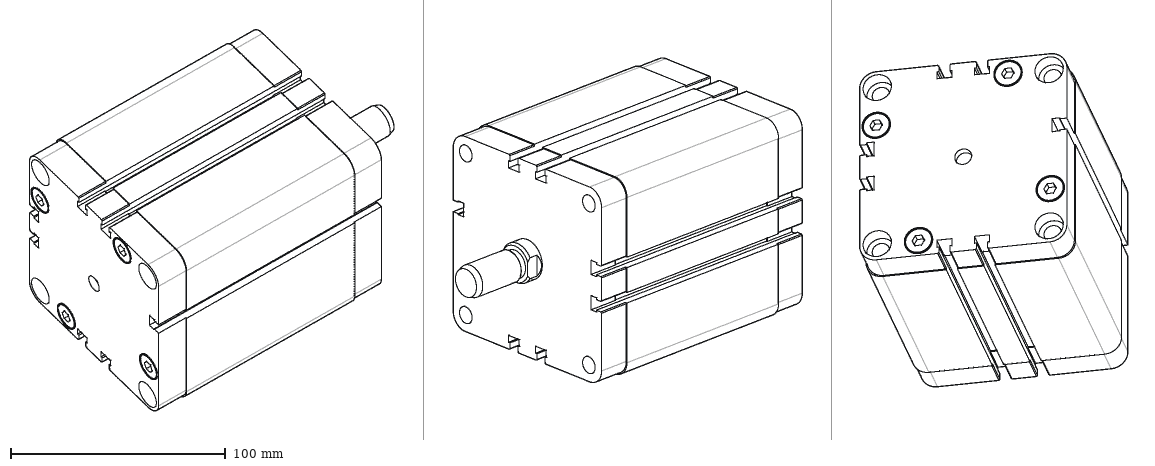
import cadquery as cq

TOTAL_LENGTH = 171.0
BODY_SIDE = 100.0
CAP_INSET = 0.5
CAP_SIDE = BODY_SIDE - 2 * CAP_INSET
CAP_LENGTH = 16.0
HOUSING_LENGTH = 131.0
BODY_LENGTH = HOUSING_LENGTH - 2 * CAP_LENGTH
CORNER_RADIUS = 8.0

SLOT_PITCH = 18.0
BODY_SLOT_DEPTH = 8.0
CAP_SLOT_DEPTH = 7.0
SHOULDER_DEPTH = 4.0
NECK_WIDTH = 5.3
SLOT_WIDTH = 7.2
MOUTH_CHAMFER = 0.5
SENSOR_SLOT_Z = 11.8
SENSOR_NECK_WIDTH = 5.8
SENSOR_SLOT_WIDTH = 6.8

MOUNT_SPACING = 82.0
MOUNT_HOLE_DIAMETER = 8.4
MOUNT_BORE_DIAMETER = 13.5
MOUNT_BORE_DEPTH = 8.0

SCREW_LONG_OFFSET = 41.5
SCREW_SHORT_OFFSET = 21.4
SCREW_BORE_DIAMETER = 13.5
SCREW_HEAD_DIAMETER = 12.5
SCREW_GROOVE_DEPTH = 0.5
SOCKET_ACROSS_CORNERS = 6.0
SOCKET_DEPTH = 4.0
CENTRE_HOLE_DIAMETER = 8.0
CENTRE_HOLE_DEPTH = 4.0

COLLAR_DIAMETER = 20.0
COLLAR_LENGTH = 8.0
COLLAR_CHAMFER = 1.5
COLLAR_END_DIAMETER = 18.3
FLATS_WIDTH = 17.0
FLATS_RUNOUT = (COLLAR_DIAMETER - FLATS_WIDTH) / 2
FLATS_GAP = 0.5
THREAD_DIAMETER = 16.0
CORE_DIAMETER = 14.0
UNDERCUT_LENGTH = 2.9
UNDERCUT_CHAMFER = 0.9
TIP_CHAMFER_LENGTH = 3.0


def front_plane(y):
    """Sketch plane at the given Y: local x is X, local y is Z, and extrusion goes toward +Y."""
    return cq.Workplane(cq.Plane(origin=(0, y, 0), xDir=(1, 0, 0), normal=(0, -1, 0)))


def prism(side, start, length):
    """Square block with rounded edges along Y."""
    block = front_plane(start).rect(side, side).extrude(-length)
    return block.edges("|Y").fillet(CORNER_RADIUS)


def slot_cutter(side, offset, neck, width, depth, mouth, start, length):
    """T-slot in the +Z face of a square prism, at the given X offset."""
    face = side / 2
    shoulder = BODY_SIDE / 2 - SHOULDER_DEPTH
    floor = face - depth

    def bar(bar_width, bottom, top):
        middle = (bottom + top) / 2
        return front_plane(start).center(offset, middle).rect(bar_width, top - bottom).extrude(-length)

    cutter = bar(neck, floor, face).union(bar(width, floor, shoulder))
    if mouth:
        bevel = (
            front_plane(start)
            .moveTo(offset - neck / 2, face - mouth)
            .lineTo(offset + neck / 2, face - mouth)
            .lineTo(offset + neck / 2 + mouth, face)
            .lineTo(offset - neck / 2 - mouth, face)
            .close()
            .extrude(-length)
        )
        cutter = cutter.union(bevel)
    return cutter


def cut_slots(block, side, start, length, depth, mouth):
    for turn in (0, 180, 270):
        for offset in (-SLOT_PITCH / 2, SLOT_PITCH / 2):
            cutter = slot_cutter(side, offset, NECK_WIDTH, SLOT_WIDTH, depth, mouth, start, length)
            block = block.cut(cutter.rotate((0, 0, 0), (0, 1, 0), turn))
    sensor = slot_cutter(side, -SENSOR_SLOT_Z, SENSOR_NECK_WIDTH, SENSOR_SLOT_WIDTH, depth, 0, start, length)
    return block.cut(sensor.rotate((0, 0, 0), (0, 1, 0), 90))


def make_cap(start):
    cap = prism(CAP_SIDE, start, CAP_LENGTH)
    return cut_slots(cap, CAP_SIDE, start, CAP_LENGTH, CAP_SLOT_DEPTH, MOUTH_CHAMFER)


def make_housing():
    body = prism(BODY_SIDE, CAP_LENGTH, BODY_LENGTH)
    body = cut_slots(body, BODY_SIDE, CAP_LENGTH, BODY_LENGTH, BODY_SLOT_DEPTH, 0)
    front_cap = make_cap(0)
    rear_cap = make_cap(CAP_LENGTH + BODY_LENGTH)
    return body.union(front_cap).union(rear_cap)


def cut_mounting_holes(housing):
    def holes(diameter, depth):
        corners = front_plane(0).rect(MOUNT_SPACING, MOUNT_SPACING, forConstruction=True).vertices()
        return corners.circle(diameter / 2).extrude(-depth)

    housing = housing.cut(holes(MOUNT_HOLE_DIAMETER, HOUSING_LENGTH))
    return housing.cut(holes(MOUNT_BORE_DIAMETER, MOUNT_BORE_DEPTH))


def cut_cap_screws(housing):
    """Flush screw heads: a shallow ring groove around each head and a hexagon socket."""
    positions = [
        (SCREW_SHORT_OFFSET, SCREW_LONG_OFFSET),
        (SCREW_LONG_OFFSET, -SCREW_SHORT_OFFSET),
        (-SCREW_SHORT_OFFSET, -SCREW_LONG_OFFSET),
        (-SCREW_LONG_OFFSET, SCREW_SHORT_OFFSET),
    ]
    screws = front_plane(0).pushPoints(positions)
    grooves = screws.circle(SCREW_BORE_DIAMETER / 2).circle(SCREW_HEAD_DIAMETER / 2)
    grooves = grooves.extrude(-SCREW_GROOVE_DEPTH)
    sockets = screws.polygon(6, SOCKET_ACROSS_CORNERS).extrude(-SOCKET_DEPTH)
    return housing.cut(grooves).cut(sockets)


def make_rod():
    rod_start = HOUSING_LENGTH - CAP_LENGTH
    collar_end = HOUSING_LENGTH + COLLAR_LENGTH
    thread_start = collar_end + UNDERCUT_LENGTH
    rod = (
        cq.Workplane("XY")
        .moveTo(0, rod_start)
        .lineTo(COLLAR_DIAMETER / 2, rod_start)
        .lineTo(COLLAR_DIAMETER / 2, collar_end - COLLAR_CHAMFER)
        .lineTo(COLLAR_END_DIAMETER / 2, collar_end)
        .lineTo(CORE_DIAMETER / 2, collar_end)
        .lineTo(CORE_DIAMETER / 2, thread_start)
        .lineTo(THREAD_DIAMETER / 2, thread_start + UNDERCUT_CHAMFER)
        .lineTo(THREAD_DIAMETER / 2, TOTAL_LENGTH - TIP_CHAMFER_LENGTH)
        .lineTo(CORE_DIAMETER / 2, TOTAL_LENGTH)
        .lineTo(0, TOTAL_LENGTH)
        .close()
        .revolve(360, (0, 0, 0), (0, 1, 0))
    )
    runout_start = HOUSING_LENGTH + FLATS_GAP
    flat = (
        cq.Workplane("XY")
        .moveTo(COLLAR_DIAMETER / 2, runout_start)
        .lineTo(FLATS_WIDTH / 2, runout_start + FLATS_RUNOUT)
        .lineTo(FLATS_WIDTH / 2, collar_end)
        .lineTo(COLLAR_DIAMETER / 2, collar_end)
        .close()
        .extrude(COLLAR_DIAMETER / 2, both=True)
    )
    return rod.cut(flat).cut(flat.mirror("YZ"))


housing = cut_cap_screws(cut_mounting_holes(make_housing()))
centre_hole = front_plane(0).circle(CENTRE_HOLE_DIAMETER / 2).extrude(-CENTRE_HOLE_DEPTH)
result = housing.cut(centre_hole).union(make_rod())